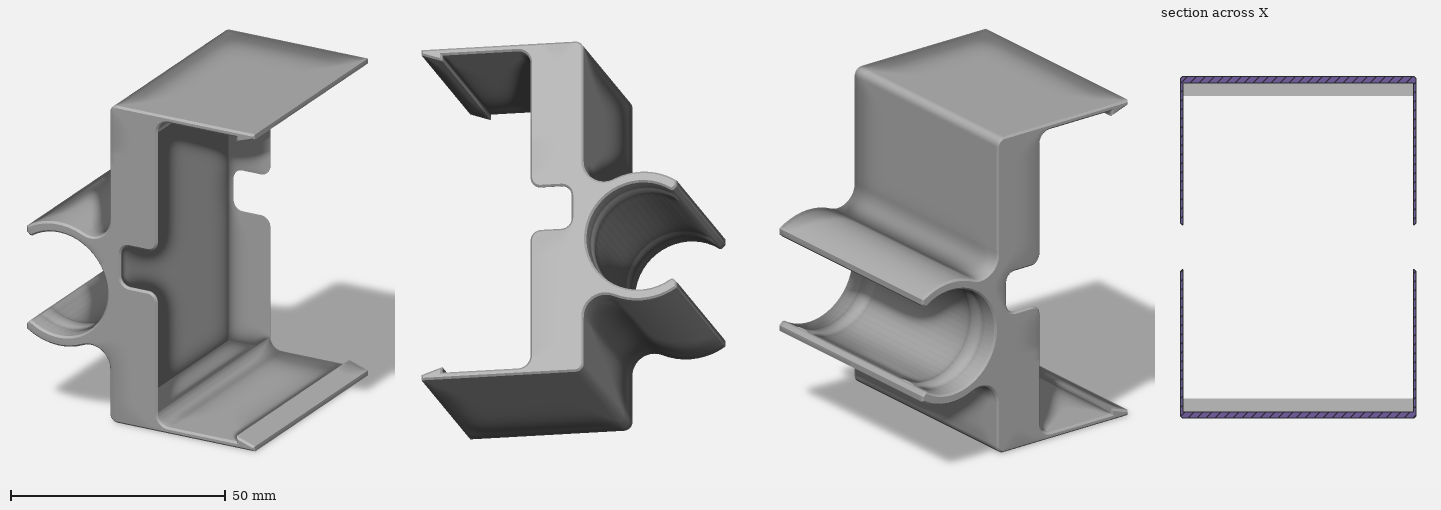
import cadquery as cq
import math

height = 79.8
depth = 55.0
half_height = height / 2
half_depth = depth / 2
edge_chamfer = 0.5

clip_z = -8.0
bore_radius = 12.9
clip_radius = 15.6
clip_blend_radius = 5.0

lip_front = -8.6
lip_flat_height = 1.4
lip_bevel = 0.8
lip_angle = math.acos(lip_front / clip_radius)
lip_edge_height = clip_radius * math.sin(lip_angle) - lip_flat_height - lip_bevel
bore_angle = math.pi - math.asin(lip_edge_height / bore_radius)

ring_width = 4.95
ring_inset = 4.95
ring_height = 0.3
ring_overlap = 0.4

body_front = 13.6
body_thickness = 12.7
body_back = body_front + body_thickness
body_corner_radius = 2.0
wall_thickness = 1.6
end_plate_thickness = 0.6

slot_height = 10.3
slot_depth = 9.8
slot_radius = 2.5
half_slot = slot_height / 2
slot_floor = body_back - slot_depth

arm_end = 52.3
arm_inner_z = half_height - wall_thickness
arm_root_radius = 3.0
hook_start = arm_end - 4.95
hook_reach = 2.95
hook_end_thickness = 1.3


def circle_point(radius, angle, center=(0, clip_z)):
    """Point in the XZ plane at an angle in radians on a circle."""
    return (center[0] + radius * math.cos(angle), center[1] + radius * math.sin(angle))


def mirrored(points, z_mirror):
    """The same points reflected about a level line, in reverse order."""
    return [(x, 2 * z_mirror - z) for x, z in reversed(points)]


def add_lines(outline, points):
    for point in points:
        outline = outline.lineTo(*point)
    return outline


def make_outline():
    """Side outline of clip, body and arms, with sharp body corners."""
    lip_top = circle_point(clip_radius, lip_angle)
    lip_nose = [
        (lip_front + lip_bevel, clip_z + lip_edge_height),
        (lip_front, clip_z + lip_edge_height + lip_bevel),
    ]

    blend_x = body_front - clip_blend_radius
    blend_angle = math.acos(blend_x / (clip_radius + clip_blend_radius))
    blend_center = circle_point(clip_radius + clip_blend_radius, blend_angle)
    clip_curve = [
        circle_point(clip_radius, (lip_angle + blend_angle) / 2),
        circle_point(clip_radius, blend_angle),
    ]
    blend_curve = [
        circle_point(clip_blend_radius, (blend_angle - math.pi) / 2, blend_center),
        (body_front, blend_center[1]),
    ]
    upper_curve = [lip_top] + clip_curve + blend_curve
    lower_curve = mirrored(upper_curve, clip_z)

    arm = [
        (body_front, half_height),
        (arm_end, half_height),
        (arm_end, half_height - hook_end_thickness),
        (hook_start, half_height - hook_reach),
        (hook_start, arm_inner_z),
        (body_back, arm_inner_z),
        (body_back, half_slot),
        (slot_floor, half_slot),
    ]

    outline = cq.Workplane("XZ").moveTo(*circle_point(bore_radius, -bore_angle))
    outline = outline.threePointArc(circle_point(bore_radius, 0), circle_point(bore_radius, bore_angle))
    outline = add_lines(outline, lip_nose + [lip_top])
    outline = outline.threePointArc(upper_curve[1], upper_curve[2])
    outline = outline.threePointArc(upper_curve[3], upper_curve[4])
    outline = add_lines(outline, arm + mirrored(arm, 0) + lower_curve[:1])
    outline = outline.threePointArc(lower_curve[1], lower_curve[2])
    outline = outline.threePointArc(lower_curve[3], lower_curve[4])
    outline = add_lines(outline, mirrored(lip_nose, clip_z))
    return outline.close()


def round_corner(body, x, z, radius):
    """Fillet the upper and lower full-depth edges at (x, z) and (x, -z)."""
    reach = 0.1
    for edge_z in (z, -z):
        box = cq.selectors.BoxSelector(
            (x - reach, -reach, edge_z - reach),
            (x + reach, reach, edge_z + reach),
        )
        body = body.edges(box).fillet(radius)
    return body


def make_pocket():
    """Hollow of the body between its front wall, the arms and the end plates."""
    pocket_front = body_front + wall_thickness
    return cq.Workplane("XY").box(
        body_back - pocket_front,
        depth - 2 * end_plate_thickness,
        2 * arm_inner_z,
    ).translate(((pocket_front + body_back) / 2, 0, 0))


def make_ring(y_center):
    """Shallow rounded ring round the bore, ending at the lips."""
    half_width = ring_width / 2
    root_radius = bore_radius + ring_overlap
    section = (
        cq.Workplane("XY")
        .moveTo(bore_radius, -half_width)
        .threePointArc((bore_radius - ring_height, 0), (bore_radius, half_width))
        .lineTo(root_radius, half_width)
        .lineTo(root_radius, -half_width)
        .close()
    )
    half_sweep = math.degrees(bore_angle)
    ring = section.revolve(2 * half_sweep, (0, 0, 0), (0, 1, 0))
    return ring.rotate((0, 0, 0), (0, 1, 0), -half_sweep).translate((0, y_center, clip_z))


holder = make_outline().extrude(half_depth, both=True)
holder = round_corner(holder, body_front, half_height, body_corner_radius)
holder = round_corner(holder, body_back, arm_inner_z, arm_root_radius)
holder = round_corner(holder, body_back, half_slot, slot_radius)
holder = round_corner(holder, slot_floor, half_slot, slot_radius)
holder = holder.faces("<Y or >Y").chamfer(edge_chamfer)
holder = holder.cut(make_pocket())

ring_y = half_depth - ring_inset - ring_width / 2
for ring_center in (ring_y, -ring_y):
    holder = holder.union(make_ring(ring_center))

result = holder